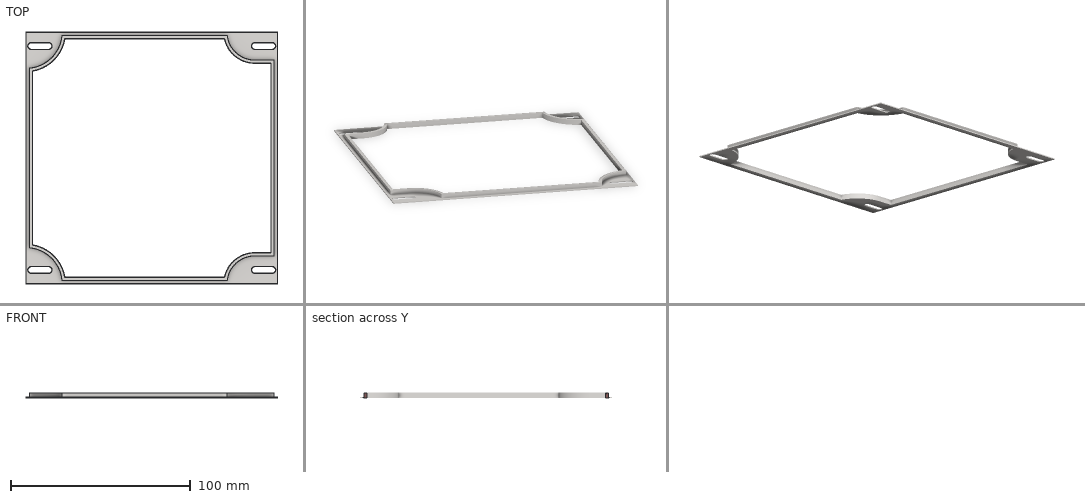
import cadquery as cq

side = 140.0
height = 3.0
plate_thickness = 0.5
half = side / 2

rim_inset = 2.0
rim_width = 1.8

left_pad_radius = 20.2
right_pad_radius = 15.5
right_pad_center = 12.6

slot_width = 3.6
slot_length = 13.3
slot_edge_gap = 1.1
slot_inset_y = 7.7


def window_prism(offset):
    """Full-height prism of the window, moved inward from the rim's outer face by offset."""
    size = side - 2 * (rim_inset + offset)
    window = cq.Workplane("XY").rect(size, size).extrude(height)

    left_radius = left_pad_radius + offset
    right_radius = right_pad_radius + offset
    arc_x = half - right_pad_center
    for y in (-half, half):
        left_pad = cq.Workplane("XY").center(-half, y).circle(left_radius).extrude(height)
        right_round = cq.Workplane("XY").center(arc_x, y).circle(right_radius).extrude(height)
        right_block = (
            cq.Workplane("XY")
            .center(half - right_pad_center / 2, y)
            .rect(right_pad_center, 2 * right_radius)
            .extrude(height)
        )
        window = window.cut(left_pad).cut(right_round).cut(right_block)
    return window


def mounting_slots():
    """Four slots through the corner pads."""
    x = half - slot_edge_gap - slot_length / 2
    y = half - slot_inset_y
    return (
        cq.Workplane("XY")
        .pushPoints([(-x, -y), (x, -y), (-x, y), (x, y)])
        .slot2D(slot_length, slot_width)
        .extrude(height)
    )


plate = cq.Workplane("XY").rect(side, side).extrude(plate_thickness)
rim_body = window_prism(0)
opening = window_prism(rim_width)
result = plate.union(rim_body).cut(opening).cut(mounting_slots())